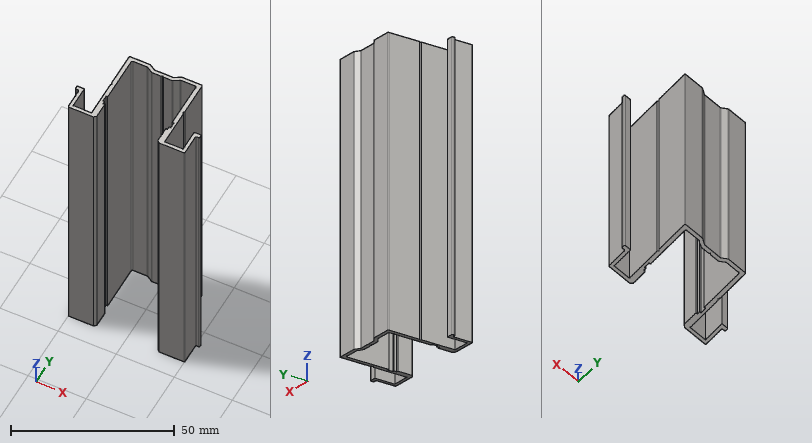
import cadquery as cq

length = 100.0
total_width = 42.8
total_depth = 26.5

channel_width = 25.2
wall = 1.5
web_thickness = 1.3

dip_depth = 1.3
dip_floor_half_width = 3.3
dip_slope_run = 2.05
dip_inner_offset = 0.3

foot_step = 0.6
foot_height = 6.1
foot_chamfer_run = 0.8
foot_chamfer_rise = 0.7

groove_bottom = 7.1
groove_top = 9.1
groove_depth = 0.55

flange_thickness = 1.2
flange_height = 8.7
lip_length = 1.3
lip_thickness = 1.3

mark_half_width = 0.4
mark_depth = 0.35
wall_mark_y = 14.2

corner_radius = 0.3
web_corner_radius = 0.4
dip_radius = 0.6

half_width = total_width / 2
wall_outer = channel_width / 2
wall_inner = wall_outer - wall
foot_inner = wall_inner - foot_step
groove_floor = wall_inner + groove_depth
flange_outer = half_width - lip_length
flange_inner = flange_outer - flange_thickness
lip_bottom = flange_height - lip_thickness
web_inner = total_depth - web_thickness
dip_floor_outer_y = total_depth - dip_depth
dip_floor_inner_y = web_inner - dip_depth
dip_edge = dip_floor_half_width + dip_slope_run

web_outer_corner = (wall_outer, total_depth)
web_inner_corner = (wall_inner, web_inner)
lip_top_corner = (half_width, flange_height)
lip_bottom_corner = (half_width, lip_bottom)
lip_root = (flange_outer, lip_bottom)
flange_bottom_corner = (flange_outer, 0)
dip_outer_floor_end = (dip_floor_half_width, dip_floor_outer_y)
dip_outer_edge = (dip_edge, total_depth)
dip_inner_floor_end = (dip_floor_half_width + dip_inner_offset, dip_floor_inner_y)
dip_inner_edge = (dip_edge + dip_inner_offset, web_inner)


def half_outline():
    """Points of the +X half of the section, from its outer to its inner crossing of the centre line."""
    web_outside = [
        (0, dip_floor_outer_y),
        dip_outer_floor_end,
        dip_outer_edge,
        web_outer_corner,
    ]
    wall_mark = [
        (wall_outer, wall_mark_y + mark_half_width),
        (wall_outer - mark_depth, wall_mark_y),
        (wall_outer, wall_mark_y - mark_half_width),
    ]
    flange = [
        (wall_outer, flange_thickness),
        (flange_inner, flange_thickness),
        (flange_inner, flange_height),
        lip_top_corner,
        lip_bottom_corner,
        lip_root,
        flange_bottom_corner,
    ]
    foot = [
        (foot_inner + foot_chamfer_run, 0),
        (foot_inner, foot_chamfer_rise),
        (foot_inner, foot_height),
        (wall_inner, foot_height),
    ]
    groove = [
        (wall_inner, groove_bottom),
        (groove_floor, groove_bottom),
        (groove_floor, groove_top),
        (wall_inner, groove_top),
    ]
    web_inside = [
        web_inner_corner,
        dip_inner_edge,
        dip_inner_floor_end,
        (mark_half_width, dip_floor_inner_y),
        (0, dip_floor_inner_y + mark_depth),
    ]
    return web_outside + wall_mark + flange + foot + groove + web_inside


def centred(points):
    """Shift section points so that the part is centred on Y = 0."""
    return [(x, y - total_depth / 2) for x, y in points]


def make_profile():
    """Sharp-cornered extrusion, symmetric about the YZ plane."""
    right_half = centred(half_outline())
    left_half = [(-x, y) for x, y in reversed(right_half[1:-1])]
    return cq.Workplane("XY").polyline(right_half + left_half).close().extrude(length)


def round_edges(body, corners, radius):
    """Round the long edges at the given +X corners and at their mirror images."""
    edges = []
    for x, y in centred(corners):
        for side in (1, -1):
            edges += body.edges(cq.NearestToPointSelector((side * x, y, length / 2))).vals()
    return body.newObject(edges).fillet(radius)


result = make_profile()
result = round_edges(
    result,
    [web_outer_corner, lip_top_corner, lip_bottom_corner, lip_root, flange_bottom_corner],
    corner_radius,
)
result = round_edges(result, [web_inner_corner], web_corner_radius)
result = round_edges(
    result,
    [dip_outer_floor_end, dip_outer_edge, dip_inner_floor_end, dip_inner_edge],
    dip_radius,
)